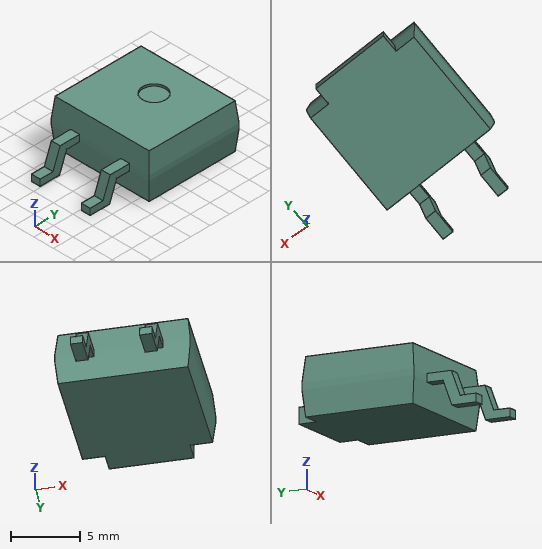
import cadquery as cq

BODY_WIDTH = 10.0
BODY_LENGTH = 9.21
BODY_HEIGHT = 4.51
BAND_HEIGHT = 0.5
FACE_INSET = 0.2

RECESS_DIAMETER = 2.32
RECESS_DEPTH = 0.2
RECESS_OFFSET_Y = 0.91

TAB_WIDTH = 6.26
TAB_THICKNESS = 1.26
TAB_REACH = 1.26

LEAD_WIDTH = 0.9
LEAD_THICKNESS = 0.65
LEAD_PITCH = 5.1
LEAD_REACH = 4.03
SHOULDER_LENGTH = 1.99
LEG_RUN = 0.72
LEG_SPAN = 0.68

ROOT_OVERLAP = 0.72

middle_z = BODY_HEIGHT / 2
band_bottom = middle_z - BAND_HEIGHT / 2
back_y = BODY_LENGTH / 2
front_y = -BODY_LENGTH / 2


def tapered_half(start_z, height):
    """Loft from the band outline at start_z to the smaller face; negative height goes down."""
    return (
        cq.Workplane("XY", origin=(0, 0, start_z))
        .rect(BODY_WIDTH, BODY_LENGTH)
        .workplane(offset=height)
        .rect(BODY_WIDTH - 2 * FACE_INSET, BODY_LENGTH - 2 * FACE_INSET)
        .loft(ruled=True)
    )


def make_body():
    band = (
        cq.Workplane("XY", origin=(0, 0, band_bottom))
        .rect(BODY_WIDTH, BODY_LENGTH)
        .extrude(BAND_HEIGHT)
    )
    upper = tapered_half(band_bottom + BAND_HEIGHT, band_bottom)
    lower = tapered_half(band_bottom, -band_bottom)
    recess = (
        cq.Workplane("XY", origin=(0, RECESS_OFFSET_Y, BODY_HEIGHT - RECESS_DEPTH))
        .circle(RECESS_DIAMETER / 2)
        .extrude(RECESS_DEPTH)
    )
    return band.union(upper).union(lower).cut(recess)


def make_tab():
    total_length = TAB_REACH + ROOT_OVERLAP
    tab = cq.Workplane("XY").box(
        TAB_WIDTH, total_length, TAB_THICKNESS, centered=(True, False, False)
    )
    return tab.translate((0, back_y - ROOT_OVERLAP, 0))


def make_lead(center_x):
    """Z-shaped strip: shoulder at mid body height, sloping leg, foot on the mounting plane."""
    shoulder_top = middle_z + LEAD_THICKNESS / 2
    shoulder_bottom = shoulder_top - LEAD_THICKNESS
    root_y = front_y + ROOT_OVERLAP
    toe_y = front_y - LEAD_REACH
    upper_bend_y = front_y - SHOULDER_LENGTH
    lower_bend_y = upper_bend_y - LEG_RUN
    profile = [
        (root_y, shoulder_top),
        (upper_bend_y, shoulder_top),
        (lower_bend_y, LEAD_THICKNESS),
        (toe_y, LEAD_THICKNESS),
        (toe_y, 0),
        (lower_bend_y + LEG_SPAN, 0),
        (upper_bend_y + LEG_SPAN, shoulder_bottom),
        (root_y, shoulder_bottom),
    ]
    return (
        cq.Workplane("YZ", origin=(center_x - LEAD_WIDTH / 2, 0, 0))
        .polyline(profile)
        .close()
        .extrude(LEAD_WIDTH)
    )


result = make_body().union(make_tab())
for side in (-1, 1):
    result = result.union(make_lead(side * LEAD_PITCH / 2))